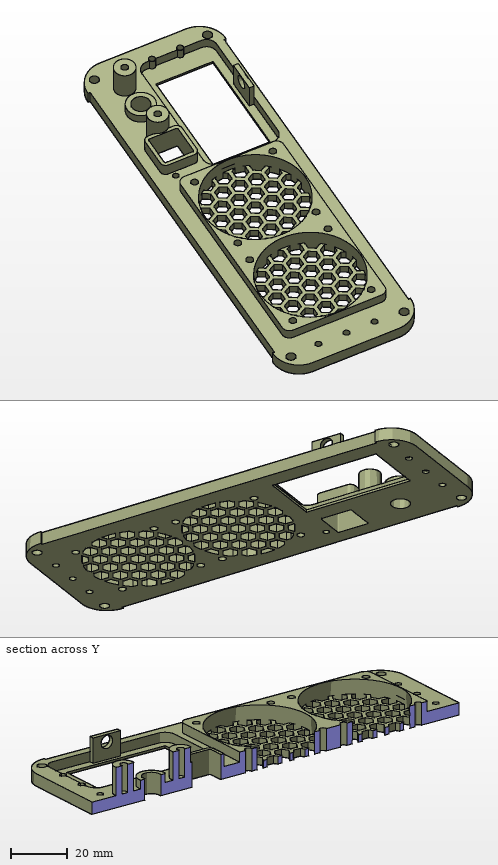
import cadquery as cq
import math

plate_length = 160.0
ear_span = 55.0
plate_width = 53.5
plate_thickness = 4.8
ear_length = 10.7
ear_radius = 10.4

corner_hole_diameter = 3.5
corner_hole_x = 74.0
corner_hole_y = 22.5
side_hole_diameter = 2.4
side_hole_x = 73.1
side_hole_sleeve_diameter = 2.7
side_hole_pitch = 11.2
pin_hole_diameter = 2.2
pin_hole_center = (-20.5, -18.4)

recess_length = 54.0
recess_width = 29.8
recess_center = (-45.6, 8.5)
recess_corner_radius = 4.0
recess_floor = 1.0
window_length = 42.9
window_width = 22.7
window_center = (-43.5, 8.6)

tab_length = 12.0
tab_thickness = 2.0
tab_top = 10.5
tab_center_x = -46.4
tab_hole_diameter = 5.0
tab_hole_z = 7.7

row_y = -14.9
post_diameter = 8.0
post_top = 15.5
post_hole_diameter = 2.7
post_xs = (-65.6, -40.8)
bushing_diameter = 11.0
bushing_bore = 7.0
bushing_height = 3.4
bushing_x = -53.5

collar_length = 15.4
collar_width = 14.5
collar_height = 4.8
collar_wall = 1.5
collar_corner_radius = 2.0
collar_center = (-30.0, -15.2)
opening_corner_radius = 0.5

frame_length = 82.0
frame_width = 41.0
frame_height = 3.8
frame_center_x = 25.3
frame_corner_radius = 2.9
fan_pitch = 41.5
fan_bore = 40.0
fan_screw_diameter = 2.7
fan_screw_spacing_x = 32.5
fan_screw_spacing_y = 31.2
grille_thickness = 3.0
hexagon_across_flats = 5.1
hexagon_web = 1.6

fan_xs = (frame_center_x - fan_pitch / 2, frame_center_x + fan_pitch / 2)
frame_top = plate_thickness + frame_height
bushing_top = plate_thickness + bushing_height
collar_top = plate_thickness + collar_height
post_centers = [(x, row_y) for x in post_xs]


def block(length, width, center, bottom, top, corner_radius=0.0):
    """Upright block between two heights, with rounded vertical edges if asked."""
    body = (
        cq.Workplane("XY", origin=(center[0], center[1], bottom))
        .rect(length, width)
        .extrude(top - bottom)
    )
    if corner_radius:
        body = body.edges("|Z").fillet(corner_radius)
    return body


def cylinders(diameter, centers, bottom, top):
    """Upright cylinders of one size between two heights."""
    return (
        cq.Workplane("XY", origin=(0, 0, bottom))
        .pushPoints(centers)
        .circle(diameter / 2)
        .extrude(top - bottom)
    )


def mirrored_points(x, y):
    return [(sx * x, sy * y) for sx in (-1, 1) for sy in (-1, 1)]


def make_plate():
    """Ears are the ends of a wider rounded plate, set off from the middle by a step."""
    rounded = block(plate_length, ear_span, (0, 0), 0, plate_thickness, ear_radius)
    middle_length = plate_length - 2 * ear_length
    strip_width = (ear_span - plate_width) / 2
    for side in (-1, 1):
        strip_y = side * (plate_width + strip_width) / 2
        rounded = rounded.cut(block(middle_length, strip_width, (0, strip_y), 0, plate_thickness))
    return rounded


def side_hole_points():
    return [(sx * side_hole_x, row * side_hole_pitch) for sx in (-1, 1) for row in (-1, 0, 1)]


def make_plate_holes():
    corner_holes = cylinders(
        corner_hole_diameter, mirrored_points(corner_hole_x, corner_hole_y), 0, plate_thickness
    )
    side_holes = cylinders(side_hole_diameter, side_hole_points(), 0, plate_thickness)
    pin_hole = cylinders(pin_hole_diameter, [pin_hole_center], 0, plate_thickness)
    return corner_holes.union(side_holes).union(pin_hole)


def make_display_cut():
    recess = block(
        recess_length, recess_width, recess_center, recess_floor, plate_thickness, recess_corner_radius
    )
    window = block(window_length, window_width, window_center, 0, plate_thickness)
    return recess.union(window)


def make_tab():
    back_y = recess_center[1] + recess_width / 2
    tab_center = (tab_center_x, back_y - tab_thickness / 2)
    tab = block(tab_length, tab_thickness, tab_center, recess_floor, tab_top)
    hole = (
        cq.Workplane("XZ", origin=(tab_center_x, back_y, tab_hole_z))
        .circle(tab_hole_diameter / 2)
        .extrude(tab_thickness)
    )
    return tab.cut(hole)


def make_fan_cut(fan_x):
    """Bore, honeycomb openings clipped to the bore, and four screw holes for one fan."""
    bore = cylinders(fan_bore, [(fan_x, 0)], grille_thickness, frame_top)

    row_pitch = hexagon_across_flats + hexagon_web
    column_pitch = row_pitch * math.cos(math.radians(30))
    hexagon_across_corners = hexagon_across_flats / math.cos(math.radians(30))
    columns = math.ceil(fan_bore / 2 / column_pitch)
    rows = math.ceil(fan_bore / 2 / row_pitch)
    hexagon_centers = []
    for column in range(-columns, columns + 1):
        stagger = row_pitch / 2 if column % 2 else 0
        for row in range(-rows, rows + 1):
            hexagon_centers.append((fan_x + column * column_pitch, row * row_pitch + stagger))
    hexagons = (
        cq.Workplane("XY")
        .pushPoints(hexagon_centers)
        .polygon(6, hexagon_across_corners)
        .extrude(grille_thickness)
    )
    openings = hexagons.intersect(cylinders(fan_bore, [(fan_x, 0)], 0, grille_thickness))

    screw_points = [
        (fan_x + x, y) for x, y in mirrored_points(fan_screw_spacing_x / 2, fan_screw_spacing_y / 2)
    ]
    screw_holes = cylinders(fan_screw_diameter, screw_points, 0, frame_top)
    return bore.union(openings).union(screw_holes)


def make_switch_opening():
    return block(
        collar_length - 2 * collar_wall,
        collar_width - 2 * collar_wall,
        collar_center,
        0,
        collar_top,
        opening_corner_radius,
    )


result = make_plate()
result = result.cut(make_display_cut())
result = result.union(make_tab())
result = result.union(cylinders(side_hole_sleeve_diameter, side_hole_points(), 0, plate_thickness))
result = result.union(
    block(frame_length, frame_width, (frame_center_x, 0), 0, frame_top, frame_corner_radius)
)
result = result.union(
    block(collar_length, collar_width, collar_center, 0, collar_top, collar_corner_radius)
)
result = result.union(cylinders(bushing_diameter, [(bushing_x, row_y)], 0, bushing_top))
result = result.union(cylinders(post_diameter, post_centers, 0, post_top))

result = result.cut(make_plate_holes())
result = result.cut(make_switch_opening())
result = result.cut(cylinders(bushing_bore, [(bushing_x, row_y)], 0, bushing_top))
result = result.cut(cylinders(post_hole_diameter, post_centers, plate_thickness, post_top))
for fan_x in fan_xs:
    result = result.cut(make_fan_cut(fan_x))